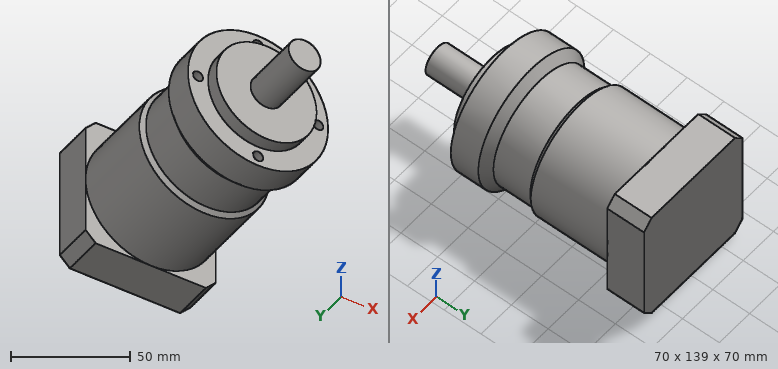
import cadquery as cq


shaft_diameter = 16.0
pilot_diameter = 50.0
flange_diameter = 70.0
neck_diameter = 61.0
body_diameter = 65.0

shaft_length = 29.5
pilot_length = 6.5
flange_rim_length = 15.0
neck_length = 20.0
body_length = 43.5
plate_length = 20.0

flange_bevel = (flange_diameter - neck_diameter) / 2
body_bevel = (body_diameter - neck_diameter) / 2

plate_width = body_diameter
plate_corner_chamfer = 5.0

hole_diameter = 5.0
hole_circle_diameter = 60.0
hole_depth = 10.0
hole_count = 4

flange_face = 0.0
pilot_face = flange_face - pilot_length
shaft_end = pilot_face - shaft_length
flange_rim_end = flange_face + flange_rim_length
flange_back = flange_rim_end + flange_bevel
body_front = flange_back + neck_length
body_back = body_front + body_length


def make_turned_body():
    """Revolve the half profile of shaft, pilot, flange, neck and body about Y."""
    shaft_radius = shaft_diameter / 2
    pilot_radius = pilot_diameter / 2
    flange_radius = flange_diameter / 2
    neck_radius = neck_diameter / 2
    body_radius = body_diameter / 2
    profile = [
        (0, shaft_end),
        (shaft_radius, shaft_end),
        (shaft_radius, pilot_face),
        (pilot_radius, pilot_face),
        (pilot_radius, flange_face),
        (flange_radius, flange_face),
        (flange_radius, flange_rim_end),
        (neck_radius, flange_back),
        (neck_radius, body_front),
        (body_radius, body_front + body_bevel),
        (body_radius, body_back),
        (0, body_back),
    ]
    return cq.Workplane("XY").polyline(profile).close().revolve(360, (0, 0, 0), (0, 1, 0))


def make_motor_plate():
    """Square plate behind the body with its four long edges chamfered."""
    return (
        cq.Workplane("XY")
        .box(plate_width, plate_length, plate_width)
        .edges("|Y")
        .chamfer(plate_corner_chamfer)
        .translate((0, body_back + plate_length / 2, 0))
    )


def make_mounting_holes():
    """Blind holes running from the flange face toward +Y."""
    return (
        cq.Workplane("XZ")
        .polarArray(hole_circle_diameter / 2, 0, 360, hole_count)
        .circle(hole_diameter / 2)
        .extrude(-hole_depth)
    )


result = make_turned_body().union(make_motor_plate()).cut(make_mounting_holes())